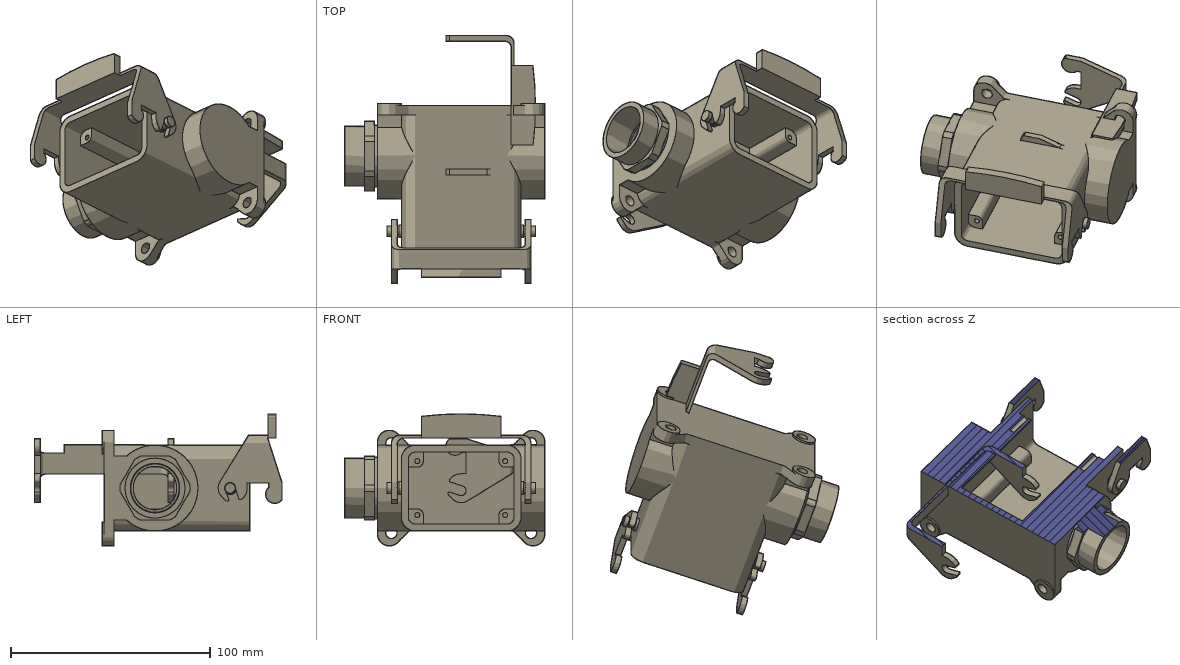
import cadquery as cq
import math


HALF_LENGTH = 42.0
BODY_WIDTH = 60.0
BODY_HEIGHT = 43.0
BODY_RADIUS = 7.0
WALL = 3.5
MOUTH_Y = -47.5
PLATE_BACK_Y = 25.5
PLATE_THICKNESS = 5.0
PLATE_FRONT_Y = PLATE_BACK_Y - PLATE_THICKNESS
CAVITY_WIDTH = BODY_WIDTH - 2 * WALL
CAVITY_HEIGHT = BODY_HEIGHT - 2 * WALL
CAVITY_RADIUS = BODY_RADIUS - WALL
CAVITY_BACK_Y = PLATE_BACK_Y - WALL
SHOULDER_HEIGHT = 32.0

EAR_DIAMETER = 12.0
EAR_RADIUS = EAR_DIAMETER / 2
EAR_X = HALF_LENGTH - EAR_RADIUS
EAR_Z = 23.0
EAR_THICKNESS = 6.0
EAR_HOLE_DIAMETER = 5.5
EAR_HOLE_X = 35.0
EAR_HOLE_Z = 22.5
WEB_FILLET = 2.0

PILLAR_SIZE = 7.5
PILLAR_RADIUS = 3.0
PILLAR_RECESS = 11.5
PILLAR_HOLE_DIAMETER = 2.46
PILLAR_HOLE_INSET = 4.5
PILLAR_HOLE_DEPTH = 12.0

PIN_Y = -37.65
PIN_DIAMETER = 5.5
PIN_NECK_DIAMETER = 4.9
PIN_COLLAR_DIAMETER = 6.5
PIN_COLLAR_X = 31.3
PIN_END_X = 37.3

GLAND_DIAMETER = 30.0
GLAND_END_X = -58.5
HEX_START_X = -48.5
HEX_END_X = -43.5
HEX_ACROSS_FLATS = 32.0
HEX_ACROSS_CORNERS = 35.2
GLAND_COLLAR_DIAMETER = 31.0
BORE_MOUTH_DIAMETER = 24.8
BORE_DIAMETER = 24.24
BORE_TAPER_LENGTH = 12.8
BORE_STRAIGHT_LENGTH = 1.6
CABLE_HOLE_DIAMETER = 21.8

ARM_OUTER_X = 35.0
ARM_THICKNESS = 3.0
ARM_INNER_X = ARM_OUTER_X - ARM_THICKNESS
SPINE_BOTTOM_Z = 25.0
SPINE_THICKNESS = 1.5
SPINE_TOP_Z = SPINE_BOTTOM_Z + SPINE_THICKNESS
BEND_OUTER_RADIUS = 4.0
BEND_INNER_RADIUS = 3.0
SLOT_RADIUS = PIN_NECK_DIAMETER / 2
SLOT_TILT = math.radians(18.0)
PIVOT_RADIUS = 6.0
REAR_TILT = math.radians(31.5)
REAR_TIP_Z = -6.55
FRONT_TIP_Z = -5.8
TIP_FILLET = 0.45
HOOK_FRONT_Y = -8.5
HOOK_RADIUS = 7.3
NOTCH_TOP_Z = SLOT_RADIUS
LATCH_REAR_Y = -19.25
LATCH_RADIUS = 4.6
LATCH_Y = -22.35
LATCH_Z = -3.1
LEVER_FRONT_Y = -26.1
LEVER_FRONT_TOP_Z = 2.6
SPINE_FRONT_Y = -18.9
HANDLE_WIDTH = 40.0
HANDLE_THICKNESS = 4.2
HANDLE_SIDE_Z = 36.0
HANDLE_CREST_Z = 37.24
HANDLE_CORNER_RADIUS = 0.5

REAR_LEVER_Z = -1.3


def along_y(start, end):
    """Workplane on XZ at y = start, with the signed distance to extrude to y = end."""
    return cq.Workplane("XZ", origin=(0, start, 0)), start - end


def cylinder_y(x, z, diameter, start, end):
    plane, length = along_y(start, end)
    return plane.center(x, z).circle(diameter / 2).extrude(length)


def cylinder_x(diameter, start, end, y=0.0):
    return cq.Workplane("YZ", origin=(start, y, 0)).circle(diameter / 2).extrude(end - start)


def rounded_block(width, height, radius, start, end):
    plane, length = along_y(start, end)
    return plane.rect(width, height).extrude(length).edges("|Y").fillet(radius)


def round_edge(solid, direction, near, radius):
    """Fillet the one edge in the given direction whose middle is nearest to a point."""
    nearest = cq.selectors.NearestToPointSelector(near)
    return solid.edges(direction).edges(nearest).fillet(radius)


CORNERS = [(sx, sz) for sx in (-1, 1) for sz in (-1, 1)]


def lever_side_block():
    """Lever side shape in the YZ plane, with both hooks, slot and latch nose, as a full-width block."""
    rear_normal = (math.cos(REAR_TILT), math.sin(REAR_TILT))
    rear_top_y = (PIVOT_RADIUS - SPINE_TOP_Z * rear_normal[1]) / rear_normal[0]
    round_start = (PIVOT_RADIUS * rear_normal[0], PIVOT_RADIUS * rear_normal[1])
    diagonal = PIVOT_RADIUS * math.sqrt(0.5)
    rear_tip_outer = (2 * diagonal + REAR_TIP_Z, REAR_TIP_Z)

    across = (SLOT_RADIUS * math.cos(SLOT_TILT), -SLOT_RADIUS * math.sin(SLOT_TILT))
    seat_top = (SLOT_RADIUS * math.sin(SLOT_TILT), SLOT_RADIUS * math.cos(SLOT_TILT))

    def wall_y(side, z):
        return side * across[0] + (z - side * across[1]) * math.tan(SLOT_TILT)

    rear_tip_inner = (wall_y(1, REAR_TIP_Z), REAR_TIP_Z)
    front_tip_inner = (wall_y(-1, FRONT_TIP_Z), FRONT_TIP_Z)

    hook_center_y = HOOK_FRONT_Y + HOOK_RADIUS
    hook_tip_angle = math.asin(FRONT_TIP_Z / HOOK_RADIUS)

    def hook_point(angle):
        return (hook_center_y - HOOK_RADIUS * math.cos(angle), HOOK_RADIUS * math.sin(angle))

    front_tip_outer = hook_point(hook_tip_angle)

    nose_top_z = LATCH_Z + math.sqrt(LATCH_RADIUS**2 - (LATCH_REAR_Y - LATCH_Y) ** 2)
    nose_end_z = LATCH_Z - math.sqrt(LATCH_RADIUS**2 - (LEVER_FRONT_Y - LATCH_Y) ** 2)
    nose_middle = (LATCH_Y + LATCH_RADIUS * math.sqrt(0.5), LATCH_Z - LATCH_RADIUS * math.sqrt(0.5))

    block = (
        cq.Workplane("YZ", origin=(-ARM_OUTER_X, 0, 0))
        .moveTo(rear_top_y, SPINE_TOP_Z)
        .lineTo(*round_start)
        .threePointArc((PIVOT_RADIUS, 0), (diagonal, -diagonal))
        .lineTo(*rear_tip_outer)
        .lineTo(*rear_tip_inner)
        .lineTo(*across)
        .threePointArc(seat_top, (-across[0], -across[1]))
        .lineTo(*front_tip_inner)
        .lineTo(*front_tip_outer)
        .threePointArc(hook_point(hook_tip_angle / 2), hook_point(0))
        .lineTo(HOOK_FRONT_Y, NOTCH_TOP_Z)
        .lineTo(LATCH_REAR_Y, NOTCH_TOP_Z)
        .lineTo(LATCH_REAR_Y, nose_top_z)
        .threePointArc(nose_middle, (LEVER_FRONT_Y, nose_end_z))
        .lineTo(LEVER_FRONT_Y, LEVER_FRONT_TOP_Z)
        .lineTo(SPINE_FRONT_Y, SPINE_BOTTOM_Z)
        .lineTo(SPINE_FRONT_Y, SPINE_TOP_Z)
        .close()
        .extrude(2 * ARM_OUTER_X)
    )
    for y, z in (rear_tip_outer, rear_tip_inner, front_tip_inner, front_tip_outer):
        block = round_edge(block, "|X", (0, y, z), TIP_FILLET)
    return block


def bent_strip():
    """Solid U of the bent sheet seen along Y: two arms and the spine between them."""
    lowest_z = LATCH_Z - LATCH_RADIUS
    plane, length = along_y(LEVER_FRONT_Y, PIVOT_RADIUS)

    def arch(half_width, top_z, radius):
        return (
            plane.center(0, (top_z + lowest_z) / 2)
            .rect(2 * half_width, top_z - lowest_z)
            .extrude(length)
            .edges("|Y and >Z")
            .fillet(radius)
        )

    outer = arch(ARM_OUTER_X, SPINE_TOP_Z, BEND_OUTER_RADIUS)
    return outer.cut(arch(ARM_INNER_X, SPINE_BOTTOM_Z, BEND_INNER_RADIUS))


def lever_handle():
    half_width = HANDLE_WIDTH / 2
    plane, length = along_y(SPINE_FRONT_Y, SPINE_FRONT_Y - HANDLE_THICKNESS)
    handle = (
        plane.moveTo(-half_width, SPINE_BOTTOM_Z)
        .lineTo(-half_width, HANDLE_SIDE_Z)
        .threePointArc((0, HANDLE_CREST_Z), (half_width, HANDLE_SIDE_Z))
        .lineTo(half_width, SPINE_BOTTOM_Z)
        .close()
        .extrude(length)
    )
    for x in (-half_width, half_width):
        corner = (x, SPINE_FRONT_Y - HANDLE_THICKNESS / 2, HANDLE_SIDE_Z)
        handle = round_edge(handle, "|Y", corner, HANDLE_CORNER_RADIUS)
    return handle


def make_lever():
    """Locking lever with its pivot axis on the X axis, handle up."""
    return lever_side_block().intersect(bent_strip()).union(lever_handle())


lever = make_lever().val()
front_lever = lever.moved(cq.Location(cq.Vector(0, PIN_Y, 0)))
rear_frame = cq.Plane(origin=(0, PLATE_BACK_Y, REAR_LEVER_Z), xDir=(0, -1, 0), normal=(1, 0, 0))
rear_lever = lever.moved(cq.Location(rear_frame))


def mounting_plate():
    """Plate with four ears, each blended into the plate edge by a 45 degree web."""
    tangent = EAR_RADIUS * math.sqrt(0.5)
    web_top = (EAR_X - tangent, EAR_Z + tangent)
    edge_z = BODY_HEIGHT / 2
    web_foot = (web_top[0] - (web_top[1] - edge_z), edge_z)
    quarter = [(HALF_LENGTH, EAR_Z), web_top, web_foot]
    upper = quarter + [(-x, z) for x, z in reversed(quarter)]
    lower = [(-x, -z) for x, z in upper]

    plane, length = along_y(PLATE_FRONT_Y, PLATE_BACK_Y)
    plate = plane.polyline(upper + lower).close().extrude(length)
    for sx, sz in CORNERS:
        foot = (sx * web_foot[0], (PLATE_FRONT_Y + PLATE_BACK_Y) / 2, sz * web_foot[1])
        plate = round_edge(plate, "|Y", foot, WEB_FILLET)

    ear_back_y = PLATE_FRONT_Y + EAR_THICKNESS
    for sx, sz in CORNERS:
        plate = plate.union(cylinder_y(sx * EAR_X, sz * EAR_Z, EAR_DIAMETER, PLATE_FRONT_Y, ear_back_y))
    for sx, sz in CORNERS:
        hole = cylinder_y(
            sx * EAR_HOLE_X, sz * EAR_HOLE_Z, EAR_HOLE_DIAMETER, PLATE_FRONT_Y, ear_back_y
        )
        plate = plate.cut(hole)
    return plate


def screw_pillars():
    """Square pillars in the cavity corners, running from the back wall towards the mouth."""
    tip_y = MOUTH_Y + PILLAR_RECESS
    pillars = cq.Workplane()
    for sx, sz in CORNERS:
        x = sx * (CAVITY_WIDTH - PILLAR_SIZE) / 2
        z = sz * (CAVITY_HEIGHT - PILLAR_SIZE) / 2
        plane, length = along_y(tip_y, CAVITY_BACK_Y)
        cavity_middle = (0, (tip_y + CAVITY_BACK_Y) / 2, 0)
        pillar = plane.center(x, z).rect(PILLAR_SIZE, PILLAR_SIZE).extrude(length)
        pillar = round_edge(pillar, "|Y", cavity_middle, PILLAR_RADIUS)
        hole_x = sx * (CAVITY_WIDTH / 2 - PILLAR_HOLE_INSET)
        hole_z = sz * (CAVITY_HEIGHT / 2 - PILLAR_HOLE_INSET)
        hole = cylinder_y(hole_x, hole_z, PILLAR_HOLE_DIAMETER, tip_y, tip_y + PILLAR_HOLE_DEPTH)
        pillars = pillars.add(pillar.cut(hole))
    return pillars.vals()


def lever_pin(side):
    """Pivot pin on one side wall: a collar, then a pin with a neck that carries the lever arm."""
    wall_x = BODY_WIDTH / 2
    sections = [
        (PIN_COLLAR_DIAMETER, wall_x - WALL / 2, PIN_COLLAR_X),
        (PIN_DIAMETER, PIN_COLLAR_X, ARM_INNER_X),
        (PIN_NECK_DIAMETER, ARM_INNER_X, ARM_OUTER_X),
        (PIN_DIAMETER, ARM_OUTER_X, PIN_END_X),
    ]
    pin = cq.Workplane()
    for diameter, start, end in sections:
        pin = pin.add(cylinder_x(diameter, side * start, side * end, PIN_Y))
    return pin.combine()


def make_housing():
    body = rounded_block(BODY_WIDTH, BODY_HEIGHT, BODY_RADIUS, MOUTH_Y, PLATE_BACK_Y)
    boss = cylinder_x(BODY_HEIGHT, -HALF_LENGTH, HALF_LENGTH)
    shoulder = cq.Workplane().box(
        2 * HALF_LENGTH, PLATE_FRONT_Y, SHOULDER_HEIGHT, centered=(True, False, True)
    )
    housing = body.union(boss).union(shoulder).union(mounting_plate())

    cavity = rounded_block(CAVITY_WIDTH, CAVITY_HEIGHT, CAVITY_RADIUS, MOUTH_Y, CAVITY_BACK_Y)
    for pillar in screw_pillars():
        cavity = cavity.cut(cq.Workplane(pillar))
    housing = housing.cut(cavity)
    housing = housing.cut(cylinder_x(CABLE_HOLE_DIAMETER, -HALF_LENGTH, -CAVITY_WIDTH / 2))

    for side in (-1, 1):
        housing = housing.union(lever_pin(side))
    return housing


housing = make_housing().cut(cq.Workplane(rear_lever))


def make_gland():
    collar = cylinder_x(GLAND_COLLAR_DIAMETER, HEX_END_X, -HALF_LENGTH)
    tube = cylinder_x(GLAND_DIAMETER, GLAND_END_X, HEX_START_X)
    corner_distance = HEX_ACROSS_FLATS / math.cos(math.pi / 6)
    hexagon = (
        cq.Workplane("YZ", origin=(HEX_START_X, 0, 0))
        .polygon(6, corner_distance)
        .extrude(HEX_END_X - HEX_START_X)
        .intersect(cylinder_x(HEX_ACROSS_CORNERS, HEX_START_X, HEX_END_X))
    )
    gland = tube.union(hexagon).union(collar)

    taper_end_x = GLAND_END_X + BORE_TAPER_LENGTH
    lip_x = taper_end_x + BORE_STRAIGHT_LENGTH
    bore = (
        cq.Workplane("XY")
        .moveTo(GLAND_END_X, 0)
        .lineTo(GLAND_END_X, BORE_MOUTH_DIAMETER / 2)
        .lineTo(taper_end_x, BORE_DIAMETER / 2)
        .lineTo(lip_x, BORE_DIAMETER / 2)
        .lineTo(lip_x, CABLE_HOLE_DIAMETER / 2)
        .lineTo(-HALF_LENGTH, CABLE_HOLE_DIAMETER / 2)
        .lineTo(-HALF_LENGTH, 0)
        .close()
        .revolve(360, (0, 0, 0), (1, 0, 0))
    )
    return gland.cut(bore)


gland = make_gland()

result = cq.Compound.makeCompound([*housing.vals(), gland.val(), front_lever, rear_lever])